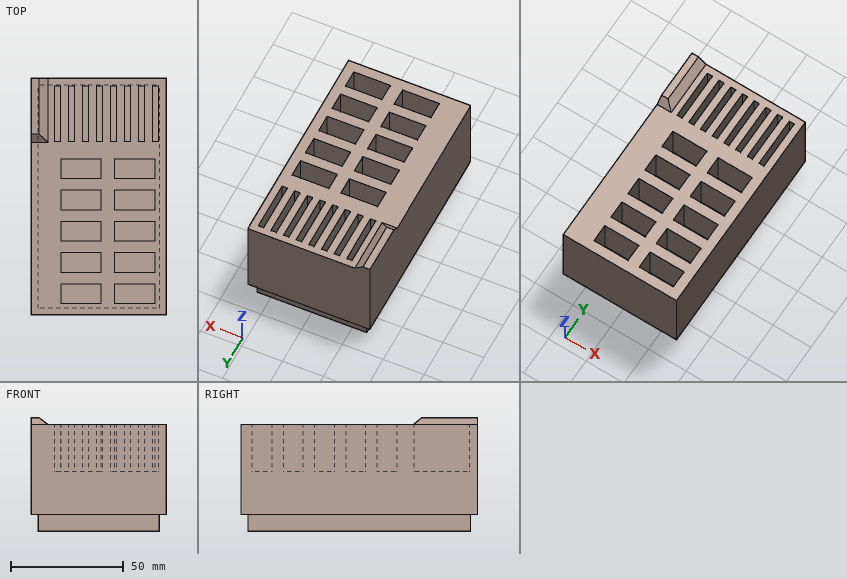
import cadquery as cq

body_width = 60.0
body_length = 105.0
body_height = 40.0
foot_height = 7.5
foot_inset = 3.0

ridge_height = 3.0
ridge_base_width = 7.5
ridge_top_width = 3.5
ridge_base_length = 28.5
ridge_top_length = 24.8

well_columns = 2
well_rows = 5
well_width = 18.0
well_length = 8.8
well_pitch_x = 23.9
well_pitch_y = 13.9
well_right_margin = 4.9
well_front_margin = 4.9
well_depth = 21.0

slot_count = 8
slot_width = 2.6
slot_length = 24.7
slot_pitch = 6.2
slot_right_margin = 3.6
slot_back_margin = 3.5
slot_depth = 21.0

left_x = -body_width / 2
right_x = body_width / 2
front_y = -body_length / 2
back_y = body_length / 2
top_z = foot_height + body_height


def box_from_corner(x, y, z, width, length, height):
    """Box whose left, front, lower corner is at (x, y, z)."""
    return cq.Workplane("XY").box(width, length, height, centered=False).translate((x, y, z))


def make_body():
    foot_width = body_width - 2 * foot_inset
    foot_length = body_length - 2 * foot_inset
    foot = cq.Workplane("XY").rect(foot_width, foot_length).extrude(foot_height)
    block = box_from_corner(left_x, front_y, foot_height, body_width, body_length, body_height)
    return foot.union(block)


def make_ridge():
    """Ridge with slopes facing right and front, made where two extruded profiles overlap."""
    ridge_top_z = top_z + ridge_height
    cross_section = [
        (left_x, top_z),
        (left_x + ridge_base_width, top_z),
        (left_x + ridge_top_width, ridge_top_z),
        (left_x, ridge_top_z),
    ]
    side_profile = [
        (back_y, top_z),
        (back_y - ridge_base_length, top_z),
        (back_y - ridge_top_length, ridge_top_z),
        (back_y, ridge_top_z),
    ]
    along_y = cq.Workplane("XZ", origin=(0, back_y, 0)).polyline(cross_section).close()
    along_x = cq.Workplane("YZ", origin=(left_x, 0, 0)).polyline(side_profile).close()
    return along_y.extrude(ridge_base_length).intersect(along_x.extrude(ridge_base_width))


def cut_wells(part):
    last_x = right_x - well_right_margin - well_width
    first_y = front_y + well_front_margin
    for column in range(well_columns):
        for row in range(well_rows):
            x = last_x - column * well_pitch_x
            y = first_y + row * well_pitch_y
            part = part.cut(box_from_corner(x, y, top_z - well_depth, well_width, well_length, well_depth))
    return part


def cut_slots(part):
    last_x = right_x - slot_right_margin - slot_width
    y = back_y - slot_back_margin - slot_length
    for index in range(slot_count):
        x = last_x - index * slot_pitch
        part = part.cut(box_from_corner(x, y, top_z - slot_depth, slot_width, slot_length, slot_depth))
    return part


result = make_body().union(make_ridge())
result = cut_wells(result)
result = cut_slots(result)